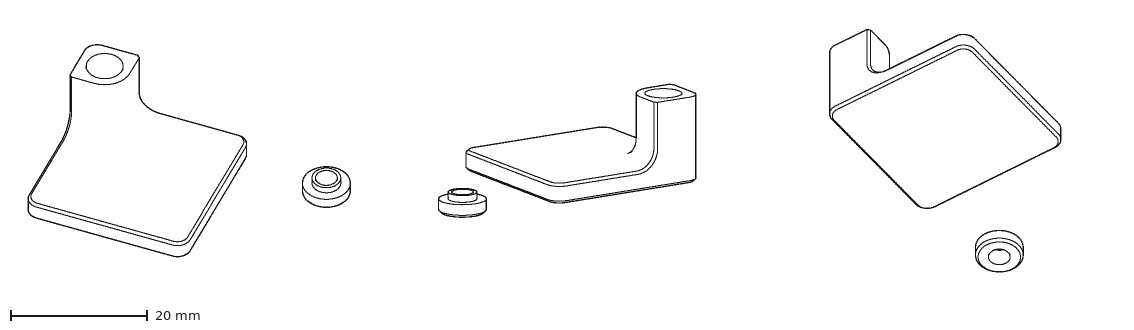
import cadquery as cq

OVERALL_LENGTH = 42.5
OVERALL_HEIGHT = 13.0

PLATE_SIDE = 25.4
PLATE_THICKNESS = 3.0
PLATE_CORNER_RADIUS = 2.0
EDGE_CHAMFER = 0.4

POST_SIDE = 8.0
POST_INNER_RADIUS = POST_SIDE / 2
POST_BASE_FILLET = 3.0
BORE_DIAMETER = 5.4
BORE_DEPTH = OVERALL_HEIGHT - PLATE_THICKNESS
POST_X = (POST_SIDE - PLATE_SIDE) / 2
POST_Y = (PLATE_SIDE - POST_SIDE) / 2

FLANGE_DIAMETER = 7.0
FLANGE_THICKNESS = 2.0
HUB_DIAMETER = 4.2
BUSHING_HEIGHT = 3.0
BUSHING_BORE_DIAMETER = 3.2
BUSHING_X = OVERALL_LENGTH - PLATE_SIDE / 2 - FLANGE_DIAMETER / 2

SELECT_MARGIN = 0.005


def make_plate():
    return (
        cq.Workplane("XY")
        .rect(PLATE_SIDE, PLATE_SIDE)
        .extrude(PLATE_THICKNESS)
        .edges("|Z")
        .fillet(PLATE_CORNER_RADIUS)
    )


def make_post():
    """Square post, rounded with the plate corner outside and more widely inside."""
    return (
        cq.Workplane("XY")
        .center(POST_X, POST_Y)
        .rect(POST_SIDE, POST_SIDE)
        .extrude(OVERALL_HEIGHT)
        .edges("|Z and <X and >Y")
        .fillet(PLATE_CORNER_RADIUS)
        .edges("|Z and >X and <Y")
        .fillet(POST_INNER_RADIUS)
    )


def post_foot_edges():
    """Select the edges where the post's inner walls meet the plate top."""
    return cq.selectors.BoxSelector(
        (-PLATE_SIDE / 2, POST_Y - POST_SIDE / 2 - SELECT_MARGIN, PLATE_THICKNESS - SELECT_MARGIN),
        (POST_X + POST_SIDE / 2 + SELECT_MARGIN, PLATE_SIDE / 2, PLATE_THICKNESS + SELECT_MARGIN),
    )


def upper_rim_start():
    """Select the straight -Y edge of the plate top."""
    half_length = PLATE_SIDE / 2 - PLATE_CORNER_RADIUS
    return cq.selectors.BoxSelector(
        (-half_length, -PLATE_SIDE / 2 - SELECT_MARGIN, PLATE_THICKNESS - SELECT_MARGIN),
        (half_length, -PLATE_SIDE / 2 + SELECT_MARGIN, PLATE_THICKNESS + SELECT_MARGIN),
    )


def make_post_plate():
    body = make_plate().union(make_post())
    body = body.edges(post_foot_edges()).fillet(POST_BASE_FILLET)
    body = body.edges(upper_rim_start()).chamfer(EDGE_CHAMFER)
    body = body.faces("<Z").edges().chamfer(EDGE_CHAMFER)
    return body.faces(">Z").workplane(origin=(POST_X, POST_Y, 0)).hole(BORE_DIAMETER, BORE_DEPTH)


def make_bushing():
    flange = (
        cq.Workplane("XY", origin=(BUSHING_X, POST_Y, 0))
        .circle(FLANGE_DIAMETER / 2)
        .extrude(FLANGE_THICKNESS)
        .faces("<Z")
        .edges()
        .chamfer(EDGE_CHAMFER)
    )
    hub = cq.Workplane("XY", origin=(BUSHING_X, POST_Y, 0)).circle(HUB_DIAMETER / 2).extrude(BUSHING_HEIGHT)
    return flange.union(hub).faces(">Z").workplane(origin=(BUSHING_X, POST_Y, 0)).hole(BUSHING_BORE_DIAMETER)


post_plate = make_post_plate()
bushing = make_bushing()

result = cq.Compound.makeCompound([post_plate.solids().val(), bushing.solids().val()])